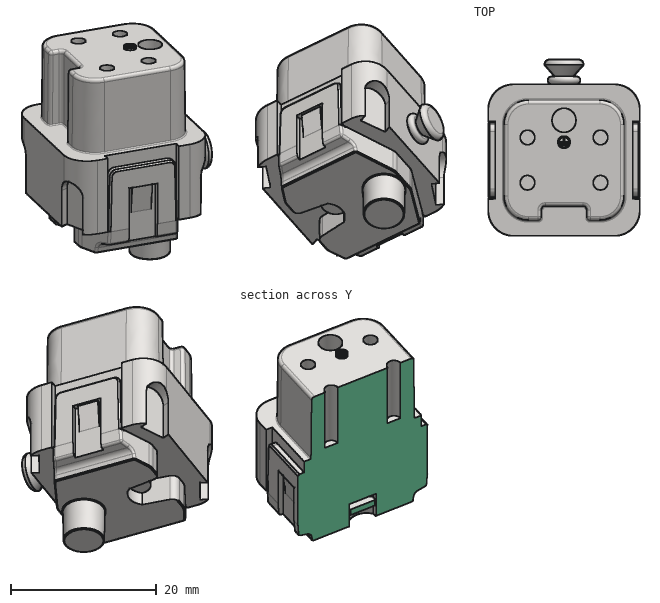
import cadquery as cq
import math

BODY_SIDE = 20.8
BODY_HEIGHT = 11.0
BODY_CORNER_RADIUS = 3.5
HALF_SIDE = BODY_SIDE / 2

TOWER_SIDE = 16.64
TOWER_HEIGHT = 11.0
TOWER_CORNER_RADIUS = 3.4
TOWER_DRAFT = 0.6
TOWER_TOP_ROUND = 0.5
TOWER_ROOT_ROUND = 0.15
TOWER_TOP_Z = BODY_HEIGHT + TOWER_HEIGHT
KEYWAY_WIDTH = 6.2
KEYWAY_FLOOR_Y = -6.3
KEYWAY_ROUND = 0.5

CONTACT_DIAMETER = 2.0
CONTACT_X = 5.0
CONTACT_Y = 3.1
EARTH_CONTACT_DIAMETER = 3.3
EARTH_CONTACT_Y = 5.45
CONTACT_DEPTH = 10.0

SYMBOL_Y = 2.45
SYMBOL_DIAMETER = 1.7
SYMBOL_LINE = 0.17
SYMBOL_HEIGHT = 0.3

RECESS_WIDTH = 10.6
RECESS_DEPTH = 1.0
LATCH_TOP_WIDTH = 9.8
LATCH_FOOT_WIDTH = 10.2
LATCH_TOP_Z = 9.05
LATCH_CORNER_RADIUS = 1.0
LATCH_CHAMFER = 0.25
LATCH_SLOT_WIDTH = 4.2
LATCH_SLOT_DEPTH = 0.8
LATCH_SLOT_TOP_Z = 6.0
RAMP_WIDTH = 3.0
RAMP_RISE = 0.45
RAMP_BOTTOM_Z = 2.0

BASE_HEIGHT = 4.0
BASE_FRONT_Y = -7.35
BASE_REAR_Y = 8.55
BASE_FACET_Y = 5.1
BASE_FRONT_HALF_WIDTH = 5.3
BASE_REAR_HALF_WIDTH = 2.0
BASE_CORNER_ROUND = 2.0
SHOULDER_TOP_HALF_WIDTH = 10.25
SHOULDER_TOP_Z = -2.1
SHOULDER_CORNER_HALF_WIDTH = 8.3
SHOULDER_CORNER_Z = -2.5
SHOULDER_ROUND = 0.9
BASE_BOTTOM_HALF_WIDTH = 8.05
SHOULDER_EDGE_ROUND = 0.4
BASE_EDGE_BREAK = 0.15

NOTCH_MOUTH_WIDTH = 5.4
NOTCH_INNER_WIDTH = 4.1
NOTCH_MOUTH_ROUND = 1.1
NOTCH_END_SAG = 1.0
NOTCH_END_Y = -1.5
BAR_TOP_Z = -0.95
BAR_BOTTOM_Z = -2.05

POCKET_WIDTH = 3.94
POCKET_TOP_Z = 7.45
POCKET_ANGLE = 24.5
POCKET_INNER_X = 6.25
POCKET_DEPTH = 1.1

STUB_Y = 5.4
STUB_DIAMETER = 5.8
STUB_LENGTH = 5.0
STUB_DRAFT = 1.0
STUB_END_CHAMFER = 0.15
STUB_COLLAR_DIAMETER = 6.0
STUB_COLLAR_HEIGHT = 0.15

SCREW_Z = 5.0
COLLAR_RADIUS = 2.25
COLLAR_LENGTH = 1.06
NECK_RADIUS = 1.3
HEAD_RADIUS = 2.7
HEAD_ROUND = 0.75
HEAD_END_Y = 13.8


def box_between(x_range, y_range, z_range):
    """Axis-aligned box given by its limits along each axis."""
    sizes = [limits[1] - limits[0] for limits in (x_range, y_range, z_range)]
    corner = (x_range[0], y_range[0], z_range[0])
    return cq.Workplane("XY").box(*sizes, centered=False).translate(corner)


def with_x_mirror(shape):
    """The shape together with its mirror image across the YZ plane."""
    return shape.union(shape.mirror("YZ"))


def make_body():
    """Block with a recess open to the top and bottom on each X side."""
    body = cq.Workplane("XY").rect(BODY_SIDE, BODY_SIDE).extrude(BODY_HEIGHT)
    body = body.edges("|Z").fillet(BODY_CORNER_RADIUS)
    recess = box_between(
        (-HALF_SIDE, -HALF_SIDE + RECESS_DEPTH),
        (-RECESS_WIDTH / 2, RECESS_WIDTH / 2),
        (0, BODY_HEIGHT),
    )
    return body.cut(with_x_mirror(recess))


def make_corner_pocket():
    """Arched pocket in the (-X, -Y) corner, turned toward the corner and open below."""
    angle = math.radians(POCKET_ANGLE)
    middle_x = -POCKET_INNER_X - POCKET_WIDTH / 2 * math.cos(angle)
    middle_y = -HALF_SIDE + POCKET_WIDTH / 2 * math.sin(angle)
    radius = POCKET_WIDTH / 2
    plane = cq.Plane(
        origin=(middle_x, middle_y, 0),
        xDir=(math.cos(angle), -math.sin(angle), 0),
        normal=(-math.sin(angle), -math.cos(angle), 0),
    )
    return (
        cq.Workplane(plane)
        .workplane(offset=-POCKET_DEPTH)
        .moveTo(-radius, 0)
        .lineTo(-radius, POCKET_TOP_Z - radius)
        .threePointArc((0, POCKET_TOP_Z), (radius, POCKET_TOP_Z - radius))
        .lineTo(radius, 0)
        .close()
        .extrude(2 * POCKET_DEPTH)
    )


def make_tower():
    """Tapered tower with a keyway down its front face and a rounded rim."""
    tower = (
        cq.Workplane("XY")
        .sketch()
        .rect(TOWER_SIDE, TOWER_SIDE)
        .vertices()
        .fillet(TOWER_CORNER_RADIUS)
        .finalize()
        .extrude(TOWER_HEIGHT, taper=TOWER_DRAFT)
        .translate((0, 0, BODY_HEIGHT))
    )
    keyway = box_between(
        (-KEYWAY_WIDTH / 2, KEYWAY_WIDTH / 2),
        (-TOWER_SIDE, KEYWAY_FLOOR_Y),
        (BODY_HEIGHT, TOWER_TOP_Z),
    ).edges("|Z and >Y").fillet(KEYWAY_ROUND)
    tower = tower.cut(keyway)
    mouth_size = KEYWAY_WIDTH + KEYWAY_ROUND
    mouth = cq.selectors.BoxSelector(
        (-mouth_size / 2, -TOWER_SIDE, BODY_HEIGHT + KEYWAY_ROUND),
        (mouth_size / 2, -TOWER_SIDE / 2 + KEYWAY_ROUND, TOWER_TOP_Z - KEYWAY_ROUND),
    )
    tower = tower.edges(mouth).fillet(KEYWAY_ROUND)
    return tower.faces(">Z").edges().fillet(TOWER_TOP_ROUND)


def round_tower_root(part):
    """Small fillet where the tower meets the top of the body."""
    inner_half = TOWER_SIDE / 2 + TOWER_ROOT_ROUND
    root = cq.selectors.BoxSelector(
        (-inner_half, -inner_half, BODY_HEIGHT - TOWER_ROOT_ROUND),
        (inner_half, inner_half, BODY_HEIGHT + TOWER_ROOT_ROUND),
    )
    return part.edges(root).fillet(TOWER_ROOT_ROUND)


def make_contact_holes():
    """Four contact holes and the larger earth contact hole."""
    top = cq.Workplane("XY", origin=(0, 0, TOWER_TOP_Z))
    contacts = top.rect(2 * CONTACT_X, 2 * CONTACT_Y, forConstruction=True).vertices()
    holes = contacts.circle(CONTACT_DIAMETER / 2).extrude(-CONTACT_DEPTH)
    earth = top.center(0, EARTH_CONTACT_Y).circle(EARTH_CONTACT_DIAMETER / 2)
    return holes.union(earth.extrude(-CONTACT_DEPTH))


def make_earth_symbol():
    """Raised ring holding a stem above a wide and a narrow bar."""
    radius = SYMBOL_DIAMETER / 2
    bar_pitch = 2 * SYMBOL_LINE
    top = cq.Workplane("XY", origin=(0, SYMBOL_Y, TOWER_TOP_Z))
    ring = top.circle(radius).circle(radius - SYMBOL_LINE).extrude(SYMBOL_HEIGHT)
    stem = top.center(0, radius / 2).rect(SYMBOL_LINE, radius).extrude(SYMBOL_HEIGHT)
    wide_bar = top.rect(SYMBOL_DIAMETER - SYMBOL_LINE, SYMBOL_LINE).extrude(SYMBOL_HEIGHT)
    narrow_bar = top.center(0, -bar_pitch).rect(radius, SYMBOL_LINE).extrude(SYMBOL_HEIGHT)
    return ring.union(stem).union(wide_bar).union(narrow_bar)


def make_base():
    """Base with faceted corners and shoulders stepping in on both X sides."""
    half_plan = [
        (BASE_REAR_HALF_WIDTH, BASE_REAR_Y),
        (HALF_SIDE, BASE_FACET_Y),
        (HALF_SIDE, -BASE_FACET_Y),
        (BASE_FRONT_HALF_WIDTH, BASE_FRONT_Y),
    ]
    mirrored_plan = [(-x, y) for x, y in reversed(half_plan)]
    plan = cq.Workplane("XY").polyline(half_plan + mirrored_plan).close().extrude(-BASE_HEIGHT)
    plan = plan.edges("|Z and (<Y or >Y)").fillet(BASE_CORNER_ROUND)

    half_profile = [
        (HALF_SIDE, 0),
        (SHOULDER_TOP_HALF_WIDTH, SHOULDER_TOP_Z),
        (SHOULDER_CORNER_HALF_WIDTH, SHOULDER_CORNER_Z),
        (BASE_BOTTOM_HALF_WIDTH, -BASE_HEIGHT),
    ]
    mirrored_profile = [(-x, z) for x, z in reversed(half_profile)]
    profile = (
        cq.Workplane("XZ")
        .polyline(half_profile + mirrored_profile)
        .close()
        .extrude(HALF_SIDE, both=True)
    )
    shoulder_corners = cq.selectors.BoxSelector(
        (-SHOULDER_TOP_HALF_WIDTH + SHOULDER_ROUND, -HALF_SIDE, SHOULDER_CORNER_Z - SHOULDER_ROUND),
        (SHOULDER_TOP_HALF_WIDTH - SHOULDER_ROUND, HALF_SIDE, SHOULDER_TOP_Z),
    )
    profile = profile.edges(shoulder_corners).fillet(SHOULDER_ROUND)
    return plan.intersect(profile)


def soften_base_edges(base):
    """Round the outer edges of both shoulders and break the edge of the underside."""
    for side in (-1, 1):
        inner_x = side * BASE_BOTTOM_HALF_WIDTH
        rim_x = side * (SHOULDER_TOP_HALF_WIDTH - SHOULDER_EDGE_ROUND)
        outer_x = side * BODY_SIDE
        shoulder = cq.selectors.BoxSelector(
            (inner_x, -BODY_SIDE, -BASE_HEIGHT + BASE_EDGE_BREAK),
            (outer_x, BODY_SIDE, -BASE_EDGE_BREAK),
        )
        rim = cq.selectors.BoxSelector(
            (rim_x, -BODY_SIDE, SHOULDER_CORNER_Z),
            (outer_x, BODY_SIDE, -BASE_EDGE_BREAK),
        )
        outer_edges = base.edges(shoulder).edges("not |Y").add(base.edges(rim).edges("|Y"))
        base = outer_edges.fillet(SHOULDER_EDGE_ROUND)
    return base.faces("<Z").edges().chamfer(BASE_EDGE_BREAK)


def cut_front_notch(base):
    """Tapering notch with a rounded mouth and concave end, bridged by a convex bar."""
    inner_half = NOTCH_INNER_WIDTH / 2
    mouth_half = NOTCH_MOUTH_WIDTH / 2
    wall_end_y = NOTCH_END_Y - NOTCH_END_SAG
    notch = (
        cq.Workplane("XY")
        .moveTo(-mouth_half, BASE_FRONT_Y)
        .lineTo(-inner_half, wall_end_y)
        .threePointArc((0, NOTCH_END_Y), (inner_half, wall_end_y))
        .lineTo(mouth_half, BASE_FRONT_Y)
        .close()
        .extrude(-BASE_HEIGHT)
    )
    base = base.cut(notch)
    mouth = cq.selectors.BoxSelector(
        (-mouth_half - NOTCH_MOUTH_ROUND, BASE_FRONT_Y - NOTCH_MOUTH_ROUND, -BASE_HEIGHT),
        (mouth_half + NOTCH_MOUTH_ROUND, BASE_FRONT_Y + NOTCH_MOUTH_ROUND, 0),
    )
    base = base.edges(mouth).edges("|Z").fillet(NOTCH_MOUTH_ROUND)
    bar = cq.Workplane("XY", origin=(0, wall_end_y, BAR_BOTTOM_Z))
    return base.union(bar.circle(inner_half).extrude(BAR_TOP_Z - BAR_BOTTOM_Z))


def make_latch_plate():
    """Plate filling the upper part of the -X recess, with rounded and chamfered edges."""
    outline = [
        (LATCH_FOOT_WIDTH / 2, 0),
        (LATCH_TOP_WIDTH / 2, LATCH_TOP_Z),
        (-LATCH_TOP_WIDTH / 2, LATCH_TOP_Z),
        (-LATCH_FOOT_WIDTH / 2, 0),
    ]
    plate = (
        cq.Workplane("YZ", origin=(-HALF_SIDE, 0, 0))
        .polyline(outline)
        .close()
        .extrude(RECESS_DEPTH)
    )
    plate = plate.edges("|X and >Z").fillet(LATCH_CORNER_RADIUS)
    return plate.faces("<X").edges("not <Z").chamfer(LATCH_CHAMFER)


def make_latch_slot():
    """Slot down the -X latch plate, less the ramp that rises toward its upper end."""
    floor_x = -HALF_SIDE + LATCH_SLOT_DEPTH
    slot = box_between(
        (-HALF_SIDE, floor_x),
        (-LATCH_SLOT_WIDTH / 2, LATCH_SLOT_WIDTH / 2),
        (-BASE_HEIGHT, LATCH_SLOT_TOP_Z),
    )
    ramp_profile = [
        (floor_x, RAMP_BOTTOM_Z),
        (floor_x, LATCH_SLOT_TOP_Z),
        (floor_x - RAMP_RISE, LATCH_SLOT_TOP_Z),
    ]
    ramp = cq.Workplane("XZ").polyline(ramp_profile).close().extrude(RAMP_WIDTH / 2, both=True)
    return slot.cut(ramp)


def make_cable_stub():
    """Tapered round stub with a thin collar where it leaves the base."""
    root = cq.Workplane("XY", origin=(0, STUB_Y, -BASE_HEIGHT))
    stub = root.circle(STUB_DIAMETER / 2).extrude(-STUB_LENGTH, taper=STUB_DRAFT)
    stub = stub.faces("<Z").chamfer(STUB_END_CHAMFER)
    collar = root.circle(STUB_COLLAR_DIAMETER / 2).extrude(-STUB_COLLAR_HEIGHT)
    return stub.union(collar)


def make_screw():
    """Round-edged collar and conical head revolved about a Y-parallel axis."""
    collar_end_y = HALF_SIDE + COLLAR_LENGTH
    rim_radius = COLLAR_LENGTH / 2
    head_edge_y = HEAD_END_Y - HEAD_ROUND
    dome_mid = HEAD_ROUND * math.sqrt(0.5)
    head_flat_radius = HEAD_RADIUS - HEAD_ROUND
    profile = (
        cq.Workplane("XY", origin=(0, 0, SCREW_Z))
        .moveTo(0, HALF_SIDE)
        .lineTo(COLLAR_RADIUS - rim_radius, HALF_SIDE)
        .threePointArc(
            (COLLAR_RADIUS, HALF_SIDE + rim_radius),
            (COLLAR_RADIUS - rim_radius, collar_end_y),
        )
        .lineTo(NECK_RADIUS, collar_end_y)
        .lineTo(HEAD_RADIUS, head_edge_y)
        .threePointArc(
            (head_flat_radius + dome_mid, head_edge_y + dome_mid),
            (head_flat_radius, HEAD_END_Y),
        )
        .lineTo(0, HEAD_END_Y)
        .close()
    )
    return profile.revolve(360, (0, 0, 0), (0, 1, 0))


pocket_pair = with_x_mirror(make_corner_pocket())
corner_pockets = pocket_pair.union(pocket_pair.mirror("XZ"))

housing = make_body().cut(corner_pockets).union(make_tower())
housing = round_tower_root(housing)
housing = housing.union(cut_front_notch(soften_base_edges(make_base())))
housing = housing.union(with_x_mirror(make_latch_plate()))
housing = housing.cut(with_x_mirror(make_latch_slot()))
housing = housing.cut(make_contact_holes())

result = housing.union(make_earth_symbol()).union(make_cable_stub()).union(make_screw())